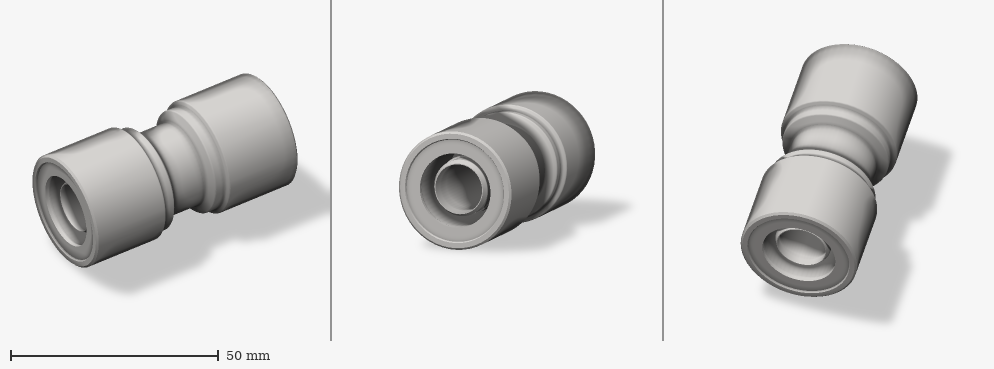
import cadquery as cq
import math

length = 58.0
half_length = length / 2
collar_diameter = 29.0
band_diameter = 26.5
neck_diameter = 21.5
through_bore_diameter = 12.0

neck_half_length = 4.45
collar_start = 9.25
shoulder_angle = 31.0
inner_corner_radius = 0.6
outer_corner_radius = 0.5
end_chamfer = 0.5
edge_search_margin = 0.05

recess_diameter = 25.0
recess_depth = 0.5
recess_rim_taper = 0.25

mouth_diameter = 18.18
socket_diameter = 18.5
mouth_depth = 1.0
mouth_taper_length = 0.6
spigot_diameter = 14.5
spigot_shoulder_diameter = 13.8
spigot_tip_diameter = 12.4
spigot_tip_depth = 2.9
spigot_taper_length = 1.5
spigot_nose_length = 5.0
spigot_shoulder_chamfer = (spigot_diameter - spigot_shoulder_diameter) / 2
socket_depth = 20.5


def shoulder_length(small_diameter, large_diameter):
    """Axial length of a conical shoulder between two diameters."""
    return (large_diameter - small_diameter) / 2 * math.tan(math.radians(shoulder_angle))


def revolve_about_y(points):
    """Turn a closed outline of (radius, y) points about the Y axis."""
    return cq.Workplane("XY").polyline(points).close().revolve(360, (0, 0, 0), (0, 1, 0))


def ring_edges(diameter, y):
    """Selector for the pair of circular edges of this diameter at +y and -y."""
    reach = diameter / 2 + edge_search_margin
    near = y - edge_search_margin
    far = y + edge_search_margin
    plus_side = cq.selectors.BoxSelector((-reach, near, -reach), (reach, far, reach), boundingbox=True)
    minus_side = cq.selectors.BoxSelector((-reach, -far, -reach), (reach, -near, reach), boundingbox=True)
    return plus_side + minus_side


def outer_body():
    """Solid outer form: two collars and two bands about the neck, with rounded shoulders."""
    neck = neck_diameter / 2
    band = band_diameter / 2
    collar = collar_diameter / 2
    band_start = neck_half_length + shoulder_length(neck_diameter, band_diameter)
    band_end = collar_start - shoulder_length(band_diameter, collar_diameter)
    upper_outline = [
        (neck, neck_half_length),
        (band, band_start),
        (band, band_end),
        (collar, collar_start),
        (collar, half_length),
        (0, half_length),
    ]
    lower_outline = [(radius, -y) for radius, y in reversed(upper_outline)]
    body = revolve_about_y(lower_outline + upper_outline)

    inner_corners = ring_edges(neck_diameter, neck_half_length) + ring_edges(band_diameter, band_end)
    outer_corners = ring_edges(band_diameter, band_start) + ring_edges(collar_diameter, collar_start)
    body = body.edges("%CIRCLE").edges(inner_corners).fillet(inner_corner_radius)
    body = body.edges("%CIRCLE").edges(outer_corners).fillet(outer_corner_radius)
    return body.faces("<Y or >Y").chamfer(end_chamfer)


def socket_cutter():
    """Recess and annular tube socket of the +Y end, with the spigot left standing."""
    recess = recess_diameter / 2
    mouth = mouth_diameter / 2
    socket = socket_diameter / 2
    recess_floor = half_length - recess_depth
    mouth_end = recess_floor - mouth_depth
    spigot_tip = half_length - spigot_tip_depth
    taper_end = spigot_tip - spigot_taper_length
    nose_end = spigot_tip - spigot_nose_length
    socket_floor = half_length - socket_depth
    return revolve_about_y([
        (0, half_length),
        (recess + recess_rim_taper, half_length),
        (recess, recess_floor),
        (mouth, recess_floor),
        (mouth, mouth_end),
        (socket, mouth_end - mouth_taper_length),
        (socket, socket_floor),
        (spigot_diameter / 2, socket_floor),
        (spigot_diameter / 2, nose_end - spigot_shoulder_chamfer),
        (spigot_shoulder_diameter / 2, nose_end),
        (spigot_shoulder_diameter / 2, taper_end),
        (spigot_tip_diameter / 2, spigot_tip),
        (0, spigot_tip),
    ])


through_bore = (
    cq.Workplane("XZ")
    .circle(through_bore_diameter / 2)
    .extrude(half_length, both=True)
)

socket = socket_cutter()
result = outer_body().cut(socket).cut(socket.mirror("XZ")).cut(through_bore)